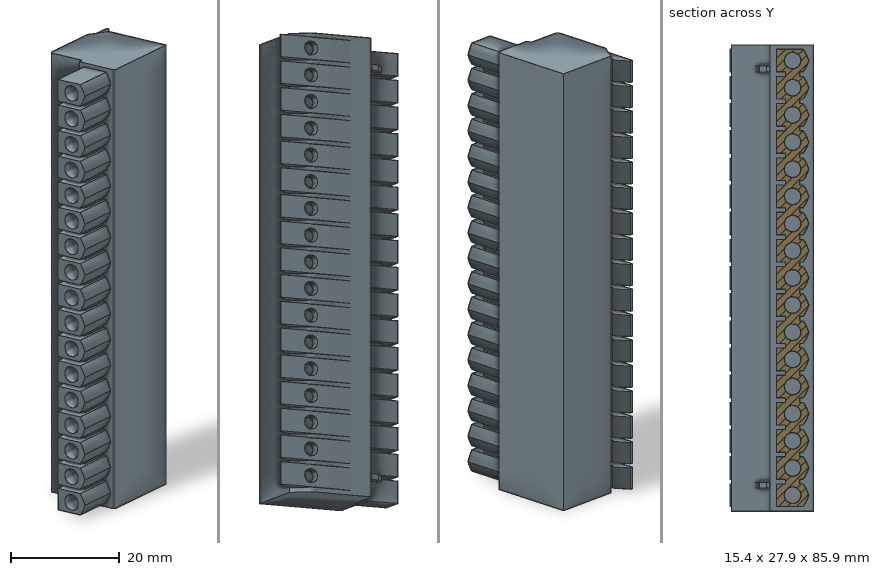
import cadquery as cq

pole_count = 17
pole_pitch = 5.0
pole_height = 4.2
body_height = 85.88
pole_row_offset = 0.03

body_left = 0.28
body_right = 15.42
body_back = 24.9
body_front = 9.25
sleeve_face = 8.3
step_x = 7.4
bevel_top_x = 2.65
bevel_bottom = (0.45, 21.6)
bevel_run_out_y = 21.05
corner_radius = 0.6
step_outer_radius = 0.35
step_inner_radius = 0.2

sleeve_left = 8.55
sleeve_shoulder = 13.5
sleeve_ridge = 14.55
sleeve_flank_bulge = 0.1
bore_center_x = 11.55
bore_diameter = 3.0
bore_depth = 6.0
web_left = 10.2
web_right = 12.9
web_front = 2.4

lever_back = 27.87
lever_tip_width = 0.5
lever_heel_y = 25.0
lever_heel_x = 2.35
lever_notch_x = 2.0
lever_bend_y = 18.0
lever_front = 13.75
lever_hole_y = 21.78
lever_hole_mouth_diameter = 2.6
lever_hole_end_diameter = 2.2
lever_hole_depth = 1.5

latch_thickness = 1.05
latch_left = 5.17
latch_right = 6.95
latch_taper_y = 6.75
latch_slope_start = (5.45, 5.4)
latch_tip_left = 6.7
latch_tip_y = 4.25
latch_barb_right = 7.25
latch_barb_y = 5.05
latch_root_radius_left = 0.45
latch_root_radius_right = 0.3
upper_latch_inset = 4.45
lower_latch_inset = 4.83

overlap = 0.3
edge_pick_margin = 0.05


def extrude_centered(outline, height, z_center):
    return outline.extrude(height).translate((0, 0, z_center - height / 2))


def bevel_y(x):
    """Y on the bevelled corner plane at a given X."""
    start_x, start_y = bevel_bottom
    return start_y + (x - start_x) * (body_back - start_y) / (bevel_top_x - start_x)


def round_vertical_edge(solid, x, y, radius):
    selector = cq.selectors.BoxSelector(
        (x - edge_pick_margin, y - edge_pick_margin, -body_height),
        (x + edge_pick_margin, y + edge_pick_margin, body_height),
    )
    return solid.edges("|Z").edges(selector).fillet(radius)


def make_body():
    outline = (
        cq.Workplane("XY")
        .moveTo(body_left, body_front)
        .lineTo(step_x, body_front)
        .lineTo(step_x, sleeve_face)
        .lineTo(body_right, sleeve_face)
        .lineTo(body_right, body_back)
        .lineTo(bevel_top_x, body_back)
        .lineTo(*bevel_bottom)
        .lineTo(body_left, bevel_run_out_y)
        .close()
    )
    body = extrude_centered(outline, body_height, 0)
    body = round_vertical_edge(body, body_left, body_front, corner_radius)
    body = round_vertical_edge(body, body_right, sleeve_face, corner_radius)
    body = round_vertical_edge(body, step_x, sleeve_face, step_outer_radius)
    return round_vertical_edge(body, step_x, body_front, step_inner_radius)


def make_sleeve(z_center):
    """Sleeve with two bowed flanks meeting in a ridge, pointing to -Y."""
    half = pole_height / 2
    length = sleeve_face + overlap
    outline = (
        cq.Workplane("XZ")
        .moveTo(sleeve_left, -half)
        .lineTo(sleeve_shoulder, -half)
        .sagittaArc((sleeve_ridge, 0), -sleeve_flank_bulge)
        .sagittaArc((sleeve_shoulder, half), -sleeve_flank_bulge)
        .lineTo(sleeve_left, half)
        .close()
    )
    return outline.extrude(-length).translate((0, 0, z_center))


def make_bore(z_center):
    circle = cq.Workplane("XZ").center(bore_center_x, z_center).circle(bore_diameter / 2)
    return circle.extrude(-bore_depth)


def make_web(z_center):
    """Narrow web filling the gap between two neighbouring sleeves."""
    width = web_right - web_left
    length = sleeve_face + overlap - web_front
    gap = pole_pitch - pole_height
    corner = (web_left, web_front, z_center - gap / 2)
    return cq.Workplane("XY").box(width, length, gap, centered=False).translate(corner)


def make_lever(z_center):
    inner_x = body_left + overlap
    outline = (
        cq.Workplane("XY")
        .moveTo(0, lever_back)
        .lineTo(lever_tip_width, lever_back)
        .lineTo(lever_heel_x, lever_heel_y)
        .lineTo(lever_notch_x, lever_heel_y)
        .lineTo(lever_notch_x, bevel_y(lever_notch_x))
        .lineTo(inner_x, bevel_y(inner_x))
        .lineTo(inner_x, lever_front)
        .lineTo(body_left, lever_front)
        .lineTo(0, lever_bend_y)
        .close()
    )
    return extrude_centered(outline, pole_height, z_center)


def make_lever_hole(z_center):
    """Slightly tapered hole through the lever into the housing."""
    cone = cq.Solid.makeCone(
        lever_hole_mouth_diameter / 2,
        lever_hole_end_diameter / 2,
        lever_hole_depth,
        cq.Vector(0, lever_hole_y, z_center),
        cq.Vector(1, 0, 0),
    )
    return cq.Workplane(cone)


def make_latch(z_center):
    """Hook with rounded roots and a barb at its tip."""
    root_y = body_front + overlap
    left_root = latch_left - latch_root_radius_left
    right_root = latch_right + latch_root_radius_right
    outline = (
        cq.Workplane("XY")
        .moveTo(left_root, root_y)
        .lineTo(left_root, body_front)
        .radiusArc((latch_left, body_front - latch_root_radius_left), latch_root_radius_left)
        .lineTo(latch_left, latch_taper_y)
        .lineTo(*latch_slope_start)
        .lineTo(latch_tip_left, latch_tip_y)
        .lineTo(latch_barb_right, latch_tip_y)
        .lineTo(latch_barb_right, latch_barb_y)
        .lineTo(latch_right, latch_barb_y)
        .lineTo(latch_right, body_front - latch_root_radius_right)
        .radiusArc((right_root, body_front), latch_root_radius_right)
        .lineTo(right_root, root_y)
        .close()
    )
    return extrude_centered(outline, latch_thickness, z_center)


lowest_pole = pole_row_offset - (pole_count - 1) * pole_pitch / 2
pole_centers = [lowest_pole + index * pole_pitch for index in range(pole_count)]
latch_centers = (body_height / 2 - upper_latch_inset, lower_latch_inset - body_height / 2)

result = make_body()
for z in pole_centers:
    result = result.union(make_lever(z)).union(make_sleeve(z))
for z in pole_centers[:-1]:
    result = result.union(make_web(z + pole_pitch / 2))
for z in latch_centers:
    result = result.union(make_latch(z))
for z in pole_centers:
    result = result.cut(make_bore(z)).cut(make_lever_hole(z))